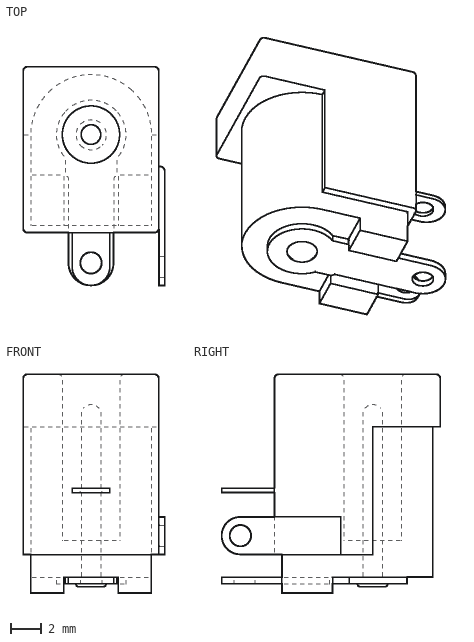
import cadquery as cq
import math


body_width = 9.0
body_back = 4.5
body_front = -6.5
total_height = 14.5
body_floor = 2.55
head_height = 3.5
edge_round = 0.3

barrel_radius = 4.0
barrel_floor = 1.05
foot_front = -6.0
foot_back = -2.65
channel_width = 3.6

bore_radius = 1.9
bore_depth = 11.0
bore_floor = total_height - bore_depth

tab_tip = -10.0
tab_width = 2.5
tab_hole_diameter = 1.4

front_tab_thickness = 0.3
front_tab_floor = 6.65
flat_hole_y = -8.5

side_tab_thickness = 0.4
side_tab_back = -2.1
side_tab_bend_radius = 0.35

pin_radius = 0.65
pin_recess = 2.0
lug_thickness = 0.45
lug_disc_radius = 2.3
lug_neck_width = 3.4
lug_tail_width = 3.0
rivet_radius = 1.0
rivet_height = 0.2


def block(width, front, back, bottom, top):
    """Box centred on X = 0, between the given Y and Z limits."""
    box = cq.Workplane("XY").box(width, back - front, top - bottom, centered=(True, False, False))
    return box.translate((0, front, bottom))


def make_housing():
    housing = block(body_width, body_front, body_back, body_floor, total_height)
    housing = housing.edges("|Z or >Z").fillet(edge_round)

    head_floor = total_height - head_height
    housing = housing.cut(block(body_width, 0, body_back, body_floor, head_floor))
    barrel = cq.Workplane("XY").workplane(offset=barrel_floor).circle(barrel_radius)
    housing = housing.union(barrel.extrude(head_floor - barrel_floor))

    base_width = 2 * barrel_radius
    housing = housing.union(block(base_width, foot_front, 0, barrel_floor, body_floor))
    foot = block(base_width, foot_front, foot_back, 0, barrel_floor)
    channel = block(channel_width, foot_front, foot_back, 0, barrel_floor)
    housing = housing.union(foot.cut(channel))

    bore = cq.Workplane("XY").workplane(offset=bore_floor).circle(bore_radius).extrude(bore_depth)
    housing = housing.cut(bore)
    mouth_edge = cq.selectors.RadiusNthSelector(0)
    housing = housing.faces(">Z").edges(mouth_edge).fillet(edge_round)
    pin_hole = cq.Workplane("XY").workplane(offset=barrel_floor).circle(pin_radius)
    return housing.cut(pin_hole.extrude(bore_floor - barrel_floor))


def make_strip(width, back, hole_y, thickness):
    """Flat strip with a round tip and a solder hole, lying on Z = 0."""
    half_width = width / 2
    shoulder = tab_tip + half_width
    strip = (
        cq.Workplane("XY")
        .moveTo(-half_width, back)
        .lineTo(-half_width, shoulder)
        .threePointArc((0, tab_tip), (half_width, shoulder))
        .lineTo(half_width, back)
        .close()
        .extrude(thickness)
    )
    hole = cq.Workplane("XY").center(0, hole_y).circle(tab_hole_diameter / 2).extrude(thickness)
    return strip.cut(hole)


def make_front_tab():
    strip = make_strip(tab_width, body_front, flat_hole_y, front_tab_thickness)
    return strip.translate((0, 0, front_tab_floor))


def make_side_tab():
    hole_y = tab_tip + tab_width / 2
    tab = make_strip(tab_width, side_tab_back, hole_y, side_tab_thickness)
    tab = tab.faces(">Y").edges(">Z").fillet(side_tab_bend_radius)
    tab = tab.rotate((0, 0, 0), (0, 1, 0), 90)
    return tab.translate((body_width / 2, 0, body_floor + tab_width / 2))


def make_centre_contact():
    half_neck = lug_neck_width / 2
    half_tail = lug_tail_width / 2
    neck_back = -math.sqrt(lug_disc_radius**2 - half_neck**2)
    shoulder_end = foot_back - (half_neck - half_tail)
    neck = (
        cq.Workplane("XY")
        .moveTo(-half_neck, neck_back)
        .lineTo(-half_neck, foot_back)
        .lineTo(-half_tail, shoulder_end)
        .lineTo(half_tail, shoulder_end)
        .lineTo(half_neck, foot_back)
        .lineTo(half_neck, neck_back)
        .threePointArc((0, lug_disc_radius), (-half_neck, neck_back))
        .close()
        .extrude(lug_thickness)
    )
    lug = neck.union(make_strip(lug_tail_width, 0, flat_hole_y, lug_thickness))
    lug_floor = barrel_floor - lug_thickness
    lug = lug.translate((0, 0, lug_floor))

    pin_top = total_height - pin_recess
    pin = cq.Workplane("XY").workplane(offset=lug_floor).circle(pin_radius)
    pin = pin.extrude(pin_top - pin_radius - lug_floor)
    pin = pin.union(cq.Workplane("XY").sphere(pin_radius).translate((0, 0, pin_top - pin_radius)))

    rivet_shank = lug_thickness + rivet_height
    rivet = cq.Workplane("XY").workplane(offset=barrel_floor).circle(rivet_radius).extrude(-rivet_shank)
    rivet = rivet.edges("<Z").fillet(rivet_height)
    return lug.union(pin).union(rivet)


housing = make_housing()
front_tab = make_front_tab()
side_tab = make_side_tab()
centre_contact = make_centre_contact()

bodies = [housing, front_tab, side_tab, centre_contact]
result = cq.Compound.makeCompound([body.solids().val() for body in bodies])